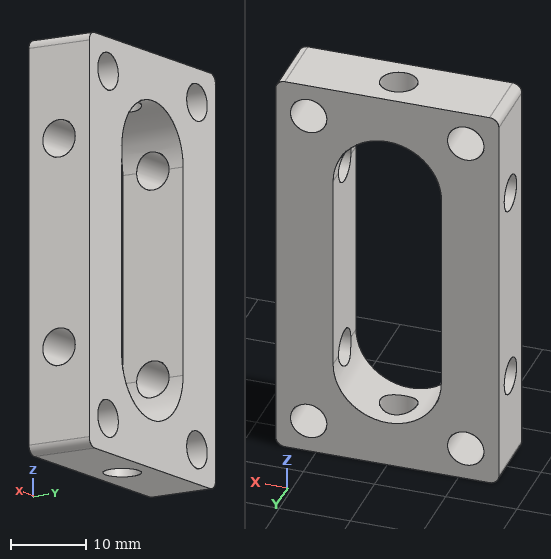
import cadquery as cq

width = 31.4
thickness = 9.55
height = 56.75
corner_radius = 1.3

slot_width = 15.2
slot_center_distance = 28.45
slot_length = slot_center_distance + slot_width

hole_diameter = 5.1
corner_hole_spacing_x = 22.1
corner_hole_spacing_z = 47.4


def through_hole(plane, u, v, length):
    """Round cutter centred on a plane's point (u, v), reaching length / 2 to each side."""
    return cq.Workplane(plane).center(u, v).circle(hole_diameter / 2).extrude(length / 2, both=True)


plate = cq.Workplane("XY").box(width, thickness, height).edges("|Y").fillet(corner_radius)

slot = cq.Workplane("XZ").slot2D(slot_length, slot_width, 90).extrude(thickness / 2, both=True)
result = plate.cut(slot)

for side in (-1, 1):
    for end in (-1, 1):
        x = side * corner_hole_spacing_x / 2
        z = end * corner_hole_spacing_z / 2
        result = result.cut(through_hole("XZ", x, z, thickness))

for end in (-1, 1):
    result = result.cut(through_hole("YZ", 0, end * slot_center_distance / 2, width))

result = result.cut(through_hole("XY", 0, 0, height))